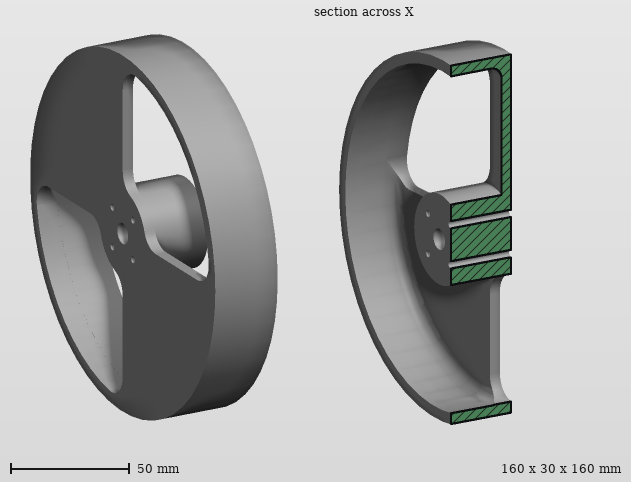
import cadquery as cq
import math

outer_radius = 80.0
width = 30.0
rim_wall = 5.0
inner_radius = outer_radius - rim_wall
web_thickness = rim_wall
web_fillet = rim_wall

hub_radius = 20.0
bore_diameter = 9.3
bolt_hole_diameter = 3.0
bolt_spacing = 17.8

corner_radius = 10.0
rim_relief = 0.03
window_radius = inner_radius + rim_relief


def front_plane():
    """Front face of the wheel; negative extrusions run toward the back (+Y)."""
    return cq.Workplane("XZ")


def make_window():
    """Cutter for the +X +Z quadrant between the hub and the rim."""
    diagonal = math.sqrt(0.5)
    profile = (
        front_plane()
        .moveTo(hub_radius, 0)
        .lineTo(window_radius, 0)
        .threePointArc((window_radius * diagonal, window_radius * diagonal), (0, window_radius))
        .lineTo(0, hub_radius)
        .threePointArc((hub_radius * diagonal, hub_radius * diagonal), (hub_radius, 0))
        .close()
    )
    return profile.extrude(-(web_thickness + web_fillet)).edges("|Y").fillet(corner_radius)


wheel = front_plane().circle(outer_radius).extrude(-width)
cavity = (
    front_plane()
    .workplane(offset=-web_thickness)
    .circle(inner_radius)
    .extrude(web_thickness - width)
    .faces("<Y")
    .edges()
    .fillet(web_fillet)
)
wheel = wheel.cut(cavity)

for angle in (0, 180):
    wheel = wheel.cut(make_window().rotate((0, 0, 0), (0, 1, 0), angle))

hub = front_plane().circle(hub_radius).extrude(-width)
wheel = wheel.union(hub)

bore = front_plane().circle(bore_diameter / 2).extrude(-width)
bolt_holes = (
    front_plane()
    .rect(bolt_spacing, bolt_spacing, forConstruction=True)
    .vertices()
    .circle(bolt_hole_diameter / 2)
    .extrude(-width)
)
result = wheel.cut(bore).cut(bolt_holes)